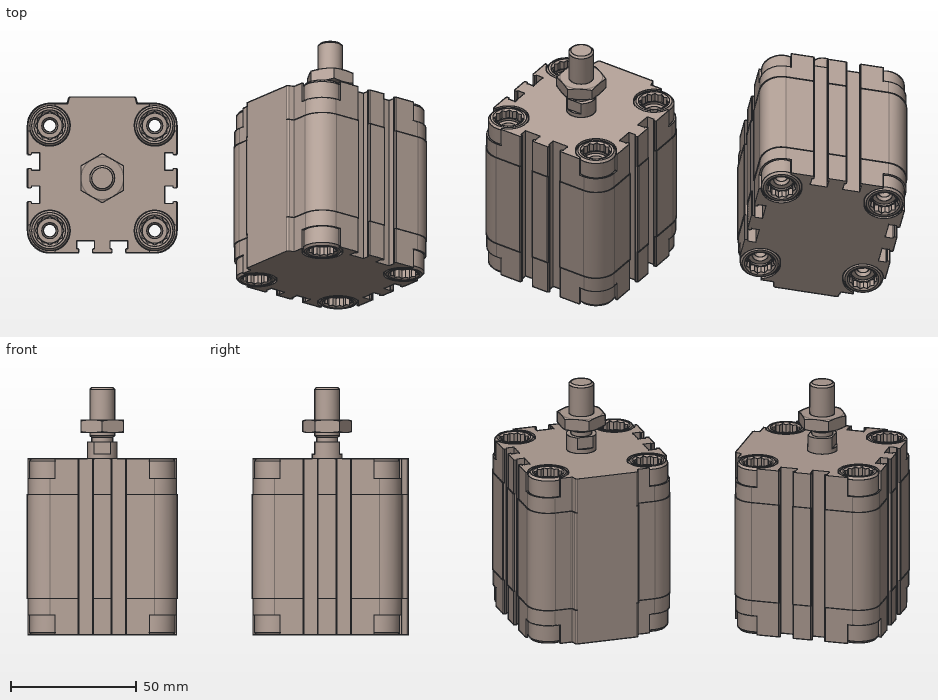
import cadquery as cq
import math

housing_height = 70.5
cap_height = 14.5
barrel_half_width = 30.0
cap_half_width = 29.7
hole_offset = 21.0

rib_top_y = 32.5
rib_top_half_width = 13.1
rib_taper = 0.7
rib_foot_y = 24.75
rib_edge_radius = 0.8
rib_root_radius = 0.4

slot_offset = 6.6
slot_floor = 25.0
lip_inner = 28.2
slot_half_width = 3.5
mouth_half_width = 2.7
lip_bevel = 0.4

boss_diameter = 16.0
boss_depth = 7.9
boss_chamfer_height = 1.0
boss_chamfer_width = 0.8
groove_diameter = 16.4
corner_cut_start = 18.8
socket_mouth_diameter = 12.6
socket_flats = 10.0
socket_mouth_depth = 0.8
star_depth = 4.0
socket_depth = 4.95
through_diameter = 4.95
countersink_diameter = 6.4
countersink_depth = 1.5

rod_top = 99.0
collar_diameter = 12.0
collar_top = 77.1
collar_flats = 10.0
flats_bottom = 72.3
neck_diameter = 8.4
thread_diameter = 10.0
thread_bottom = 78.9
thread_chamfer = (thread_diameter - neck_diameter) / 2
nut_flats = 17.0
nut_bottom = 80.9
nut_top = 85.9
nut_chamfer_height = 0.4


def hexagon_diameter(across_flats):
    """Diameter across the corners of a hexagon."""
    return across_flats / math.cos(math.pi / 6)


def rounded_block(half_width, height):
    """Square block whose corner arcs are centred on the corner holes."""
    block = cq.Workplane("XY").rect(2 * half_width, 2 * half_width).extrude(height)
    return block.edges("|Z").fillet(half_width - hole_offset)


def rib(base_y, height):
    """Tapered rib with rounded outer edges; it widens by as much as base_y exceeds the cap face."""
    top_half_width = rib_top_half_width + base_y - cap_half_width
    base_half_width = top_half_width + rib_taper
    outline = [
        (-base_half_width, rib_foot_y),
        (-base_half_width, base_y),
        (-top_half_width, rib_top_y),
        (top_half_width, rib_top_y),
        (base_half_width, base_y),
        (base_half_width, rib_foot_y),
    ]
    bar = cq.Workplane("XY").polyline(outline).close().extrude(height)
    return bar.faces(">Y").edges("|Z").fillet(rib_edge_radius)


def slot(outer_face, height, offset):
    """Undercut slot in the -Y side at X = offset, with bevelled lips."""
    right_side = [
        (slot_half_width, slot_floor),
        (slot_half_width, lip_inner),
        (mouth_half_width + lip_bevel, lip_inner),
        (mouth_half_width, lip_inner + lip_bevel),
        (mouth_half_width, outer_face - lip_bevel),
        (mouth_half_width + lip_bevel, outer_face),
    ]
    left_side = [(-x, distance) for x, distance in reversed(right_side)]
    outline = [(offset + x, -distance) for x, distance in right_side + left_side]
    return cq.Workplane("XY").polyline(outline).close().extrude(height)


def profile_section(half_width, height):
    """Length of the housing profile, standing on Z = 0: rounded square, rib and slots."""
    section = rounded_block(half_width, height).union(rib(half_width, height))
    rib_root_x = rib_top_half_width + half_width - cap_half_width + rib_taper
    for root_x in (-rib_root_x, rib_root_x):
        root = cq.NearestToPointSelector((root_x, half_width, height / 2))
        section = section.edges("|Z").edges(root).fillet(rib_root_radius)
    for side_angle in (0, 90, -90):
        for offset in (-slot_offset, slot_offset):
            cutter = slot(half_width, height, offset)
            section = section.cut(cutter.rotate((0, 0, 0), (0, 0, 1), side_angle))
    return section


def corner_cut():
    """Corner material outside the boss at the top end, and the ring groove around the boss."""
    size = 2 * (barrel_half_width - corner_cut_start)
    middle = corner_cut_start + size / 2
    floor = housing_height - boss_depth
    block = (
        cq.Workplane("XY").workplane(offset=floor).center(middle, middle)
        .rect(size, size).extrude(boss_depth)
    )
    boss = (
        cq.Workplane("XY").workplane(offset=floor).center(hole_offset, hole_offset)
        .circle(boss_diameter / 2).extrude(boss_depth)
        .faces(">Z").chamfer(boss_chamfer_height, boss_chamfer_width)
    )
    groove = (
        cq.Workplane("XY").workplane(offset=housing_height).center(hole_offset, hole_offset)
        .circle(groove_diameter / 2).extrude(-boss_chamfer_height)
    )
    return block.union(groove).cut(boss)


def socket():
    """Countersunk twelve-point socket with a round bottom, at the top end of a corner hole."""
    top = cq.Workplane("XY").workplane(offset=housing_height).center(hole_offset, hole_offset)
    star_diameter = hexagon_diameter(socket_flats)
    cutter = top.circle(socket_flats / 2).extrude(-socket_depth)
    for turn in (0, 30):
        hexagon = top.transformed(rotate=(0, 0, turn)).polygon(6, star_diameter).extrude(-star_depth)
        cutter = cutter.union(hexagon)
    mouth = (
        top.circle(socket_mouth_diameter / 2)
        .workplane(offset=-socket_mouth_depth).circle(socket_flats / 2).loft()
    )
    countersink = (
        top.workplane(offset=-socket_depth).circle(countersink_diameter / 2)
        .workplane(offset=-countersink_depth).circle(through_diameter / 2).loft()
    )
    return cutter.union(mouth).union(countersink)


def make_housing():
    barrel = profile_section(barrel_half_width, housing_height - 2 * cap_height)
    body = profile_section(cap_half_width, housing_height).union(barrel.translate((0, 0, cap_height)))

    through_hole = (
        cq.Workplane("XY").center(hole_offset, hole_offset)
        .circle(through_diameter / 2).extrude(housing_height)
    )
    upper_cut = corner_cut().union(socket())
    lower_cut = upper_cut.mirror("XY", (0, 0, housing_height / 2))
    for corner_angle in (0, 90, 180, 270):
        for cutter in (upper_cut, lower_cut, through_hole):
            body = body.cut(cutter.rotate((0, 0, 0), (0, 0, 1), corner_angle))
    return body


def make_rod():
    """Rod end standing on the housing: flatted collar, neck and chamfered thread."""
    collar_height = collar_top - housing_height
    collar = (
        cq.Workplane("XY").workplane(offset=housing_height)
        .circle(collar_diameter / 2).extrude(collar_height)
    )
    flat_depth = (collar_diameter - collar_flats) / 2
    for side in (-1, 1):
        flat = cq.Workplane("XY").box(collar_diameter, flat_depth, collar_top - flats_bottom)
        flat_y = side * (collar_flats + flat_depth) / 2
        collar = collar.cut(flat.translate((0, flat_y, (collar_top + flats_bottom) / 2)))
    neck = (
        cq.Workplane("XY").workplane(offset=collar_top)
        .circle(neck_diameter / 2).extrude(thread_bottom - collar_top)
    )
    thread = (
        cq.Workplane("XY").workplane(offset=thread_bottom)
        .circle(thread_diameter / 2).extrude(rod_top - thread_bottom)
        .faces("<Z or >Z").chamfer(thread_chamfer)
    )
    return collar.union(neck).union(thread)


def make_nut():
    """Hexagon nut with corners along Y, both ends chamfered by a cone."""
    corner_diameter = hexagon_diameter(nut_flats)
    height = nut_top - nut_bottom
    blank = (
        cq.Workplane("XY").workplane(offset=nut_bottom)
        .transformed(rotate=(0, 0, 90)).polygon(6, corner_diameter).extrude(height)
    )
    chamfer_width = (corner_diameter - nut_flats) / 2
    envelope = (
        cq.Workplane("XY").workplane(offset=nut_bottom).circle(corner_diameter / 2).extrude(height)
        .faces("<Z or >Z").chamfer(nut_chamfer_height, chamfer_width)
    )
    bore = cq.Workplane("XY").workplane(offset=nut_bottom).circle(thread_diameter / 2).extrude(height)
    return blank.intersect(envelope).cut(bore)


housing = make_housing()
rod = make_rod()
nut = make_nut()

result = cq.Compound.makeCompound([housing.solids().val(), rod.solids().val(), nut.solids().val()])